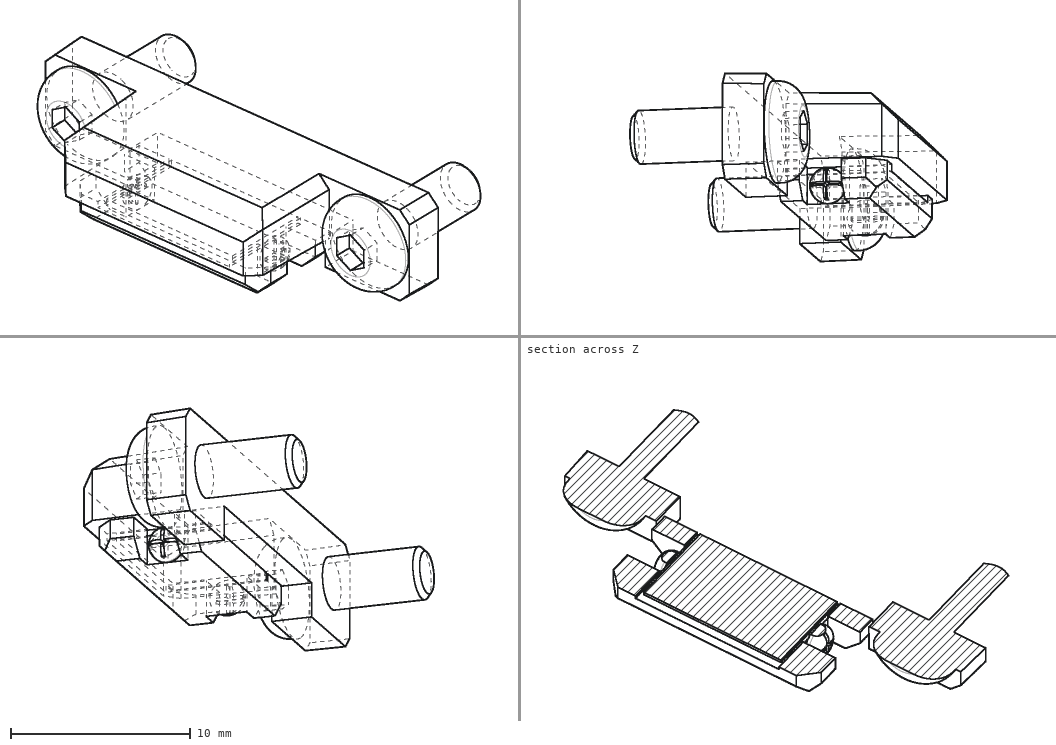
import cadquery as cq
import math


flange_length = 27.0
flange_thickness = 2.35
half_height = 3.0
flange_bevel = 0.7
hood_half_width = 7.58
hood_depth = 8.55
hood_floor = -1.0
hood_bevel = 0.75
nose_top_bevel = 1.5
nose_side_bevel = 0.75
draft = math.tan(math.radians(2))
foot_gap_half_width = 7.2

block_half_width = 7.05
block_back = -1.75
block_front = -7.8
block_bottom = -3.1
block_bevel = 1.0
slot_half_width = 4.85
slot_floor = -1.4
tongue_half_width = 4.65
tongue_setback = 0.5

side_screw_y = -4.2
side_screw_z = -2.1
side_head_radius = 1.0
side_head_height = 0.85
side_head_round = 0.65
recess_width = 2.4
cross_length = 1.68
cross_width = 0.2
cross_depth = 0.6

screw_spacing = 21.0
screw_radius = 1.5
screw_length = 8.0
screw_tip_bevel = 0.3
button_radius = 2.85
button_height = 1.65
button_round = 1.4
hex_across_flats = 2.0
hex_depth = 1.07


def box(x0, x1, y0, y1, z0, z1):
    """Box between two opposite corners."""
    return cq.Workplane("XY").box(x1 - x0, y1 - y0, z1 - z0, centered=False).translate((x0, y0, z0))


def both_ends(shape):
    """The shape together with its mirror image across x = 0."""
    return shape.union(shape.mirror("YZ"))


def slab_section(half_width, bottom, top, top_bevel, bottom_bevel=0):
    """Points of a rectangle with its upper corners, and optionally its lower corners, bevelled."""
    right_side = [
        (half_width, top - top_bevel),
        (half_width - top_bevel, top),
    ]
    if bottom_bevel > 0:
        right_side = [(half_width - bottom_bevel, bottom), (half_width, bottom + bottom_bevel)] + right_side
    else:
        right_side = [(half_width, bottom)] + right_side
    left_side = [(-x, z) for x, z in reversed(right_side)]
    return right_side + left_side


def drafted_slab(half_width, depth, bottom, top_bevel, bottom_bevel=0):
    """Slab running from y = 0 to -depth whose top and sides slope inward by the draft."""
    inset = depth * draft
    back = slab_section(half_width, bottom, half_height, top_bevel, bottom_bevel)
    front = slab_section(half_width - inset, bottom, half_height - inset, top_bevel, bottom_bevel)
    section = cq.Workplane("XZ").polyline(back).close()
    return section.workplane(offset=depth).polyline(front).close().loft(ruled=True, combine=True)


def make_flange():
    flange = drafted_slab(flange_length / 2, flange_thickness, -half_height, flange_bevel, flange_bevel)
    foot_gap = box(-foot_gap_half_width, foot_gap_half_width, -flange_thickness, 0, -half_height, hood_floor)
    return flange.cut(foot_gap)


def make_hood():
    hood = drafted_slab(hood_half_width, hood_depth, hood_floor, hood_bevel)
    tip_half_width = hood_half_width - hood_depth * draft
    tip_top = half_height - hood_depth * draft
    overrun = 1.0
    top_cutter = (
        cq.Workplane("YZ")
        .polyline([
            (-hood_depth - overrun, tip_top - nose_top_bevel - overrun),
            (-hood_depth + nose_top_bevel + overrun, tip_top + overrun),
            (-hood_depth - overrun, tip_top + overrun),
        ])
        .close()
        .extrude(hood_half_width, both=True)
    )
    side_cutter = (
        cq.Workplane("XY", origin=(0, 0, hood_floor))
        .polyline([
            (tip_half_width - nose_side_bevel - overrun, -hood_depth - overrun),
            (tip_half_width + overrun, -hood_depth - overrun),
            (tip_half_width + overrun, -hood_depth + nose_side_bevel + overrun),
        ])
        .close()
        .extrude(half_height - hood_floor)
    )
    return hood.cut(top_cutter).cut(both_ends(side_cutter))


def make_block():
    plan = (
        cq.Workplane("XY", origin=(0, 0, block_bottom))
        .polyline([
            (-block_half_width, block_back),
            (-block_half_width, block_front + block_bevel),
            (block_bevel - block_half_width, block_front),
            (block_half_width - block_bevel, block_front),
            (block_half_width, block_front + block_bevel),
            (block_half_width, block_back),
        ])
        .close()
        .extrude(hood_floor - block_bottom)
    )
    end_outline = (
        cq.Workplane("XZ")
        .polyline([
            (-block_half_width, hood_floor),
            (-block_half_width, block_bottom + block_bevel),
            (block_bevel - block_half_width, block_bottom),
            (block_half_width - block_bevel, block_bottom),
            (block_half_width, block_bottom + block_bevel),
            (block_half_width, hood_floor),
        ])
        .close()
        .extrude(-block_front)
    )
    side_outline = (
        cq.Workplane("YZ")
        .polyline([
            (block_back, hood_floor),
            (block_front, hood_floor),
            (block_front, block_bottom + block_bevel),
            (block_front + block_bevel, block_bottom),
            (block_back, block_bottom),
        ])
        .close()
        .extrude(block_half_width, both=True)
    )
    block = plan.intersect(end_outline).intersect(side_outline)
    slot = box(-slot_half_width, slot_half_width, block_front, block_back, slot_floor, hood_floor)
    recess = box(
        slot_half_width, block_half_width,
        side_screw_y - recess_width / 2, side_screw_y + recess_width / 2,
        block_bottom, hood_floor,
    )
    tongue = box(
        -tongue_half_width, tongue_half_width,
        block_front + tongue_setback, block_back,
        slot_floor, hood_floor,
    )
    return block.cut(slot).cut(both_ends(recess)).union(tongue)


def make_side_screw():
    """Head of the side screw at the +X end."""
    head = (
        cq.Workplane("YZ", origin=(slot_half_width, side_screw_y, side_screw_z))
        .circle(side_head_radius)
        .extrude(side_head_height)
        .faces(">X").edges().fillet(side_head_round)
    )
    for angle in (0, 90):
        cross_bar = (
            cq.Workplane("YZ", origin=(slot_half_width + side_head_height, side_screw_y, side_screw_z))
            .transformed(rotate=(0, 0, angle))
            .rect(cross_length, cross_width)
            .extrude(-cross_depth)
        )
        head = head.cut(cross_bar)
    return head


def make_flange_screw():
    """Button-head screw at the +X end, its head seated on the front of the flange."""
    seat = cq.Workplane("XZ", origin=(screw_spacing / 2, -flange_thickness, 0))
    shank = seat.circle(screw_radius).extrude(-screw_length).faces(">Y").chamfer(screw_tip_bevel)
    head = seat.circle(button_radius).extrude(button_height).faces("<Y").edges().fillet(button_round)
    corner_diameter = hex_across_flats / math.cos(math.pi / 6)
    socket = (
        seat.workplane(offset=button_height)
        .transformed(rotate=(0, 0, 90))
        .polygon(6, corner_diameter)
        .extrude(-hex_depth)
    )
    return head.cut(socket).union(shank)


result = (
    make_flange()
    .union(make_hood())
    .union(make_block())
    .union(both_ends(make_side_screw()))
    .union(both_ends(make_flange_screw()))
)